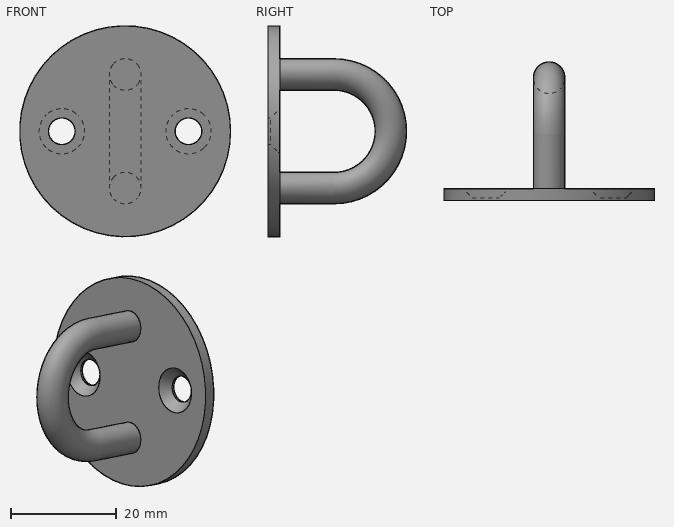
import cadquery as cq
import math

plate_diameter = 40.0
plate_thickness = 2.3

hole_diameter = 5.0
hole_spacing = 24.0
hole_land = 0.5
countersink_angle = 90.0
countersink_depth = plate_thickness - hole_land
countersink_diameter = hole_diameter + 2 * countersink_depth * math.tan(math.radians(countersink_angle / 2))

overall_depth = 26.3
bar_diameter = 6.0
bend_radius = 10.75

bend_start_y = overall_depth - bend_radius - bar_diameter / 2


def make_plate():
    return (
        cq.Workplane("XZ")
        .circle(plate_diameter / 2)
        .extrude(-plate_thickness)
    )


def cut_screw_holes(plate):
    return (
        plate.faces(">Y")
        .workplane(origin=(0, plate_thickness, 0))
        .pushPoints([(-hole_spacing / 2, 0), (hole_spacing / 2, 0)])
        .cskHole(hole_diameter, countersink_diameter, countersink_angle)
    )


def make_eye():
    path = (
        cq.Workplane("YZ")
        .moveTo(plate_thickness, bend_radius)
        .lineTo(bend_start_y, bend_radius)
        .threePointArc((bend_start_y + bend_radius, 0), (bend_start_y, -bend_radius))
        .lineTo(plate_thickness, -bend_radius)
    )
    return (
        cq.Workplane("XZ", origin=(0, plate_thickness, bend_radius))
        .circle(bar_diameter / 2)
        .sweep(path)
    )


plate = cut_screw_holes(make_plate())
result = plate.union(make_eye())